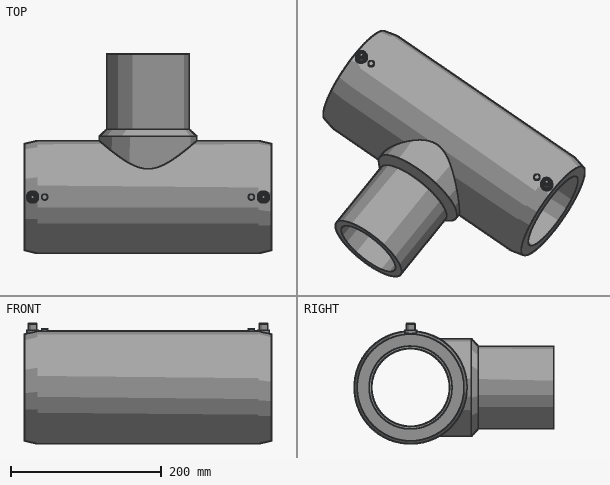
import cadquery as cq

length = 328.0
sleeve_diameter = 150.0
sleeve_radius = sleeve_diameter / 2
end_radius = 71.0
taper_length = 17.5
socket_radius = 55.0
socket_depth = 71.5
stop_radius = 51.5

overall_depth = 265.0
branch_reach = overall_depth - sleeve_radius
branch_diameter = 110.0
branch_radius = branch_diameter / 2
branch_bore_radius = 45.0
collar_radius = 65.0
collar_straight_end = 80.7
collar_taper_length = 9.2

terminal_inset = 10.8
overall_height = 160.0
terminal_top = overall_height - sleeve_radius
post_radius = 6.0
post_height = 9.2
post_chamfer = 1.0
base_radius = 8.0
well_radius = 4.3
well_depth = 8.0
pin_radius = 2.5
pin_height = 6.5

indicator_inset = 27.0
indicator_radius = 4.0
indicator_height = 3.0

half_length = length / 2
base_top = terminal_top - post_height
root_level = (socket_radius + end_radius) / 2


def upright_cylinder(x, bottom, top, radius):
    """Cylinder parallel to Z, standing over the sleeve axis."""
    return cq.Workplane("XY", origin=(x, 0, bottom)).circle(radius).extrude(top - bottom)


def make_sleeve():
    """Solid sleeve tapered towards both ends."""
    profile = [
        (-half_length, 0),
        (-half_length, end_radius),
        (-half_length + taper_length, sleeve_radius),
        (half_length - taper_length, sleeve_radius),
        (half_length, end_radius),
        (half_length, 0),
    ]
    return cq.Workplane("XY").polyline(profile).close().revolve(360, (0, 0), (1, 0))


def make_branch():
    """Solid branch pipe with its tapered collar."""
    profile = [
        (0, 0),
        (collar_radius, 0),
        (collar_radius, collar_straight_end),
        (branch_radius, collar_straight_end + collar_taper_length),
        (branch_radius, branch_reach),
        (0, branch_reach),
    ]
    return cq.Workplane("XY").polyline(profile).close().revolve(360, (0, 0), (0, 1))


def make_bores():
    """Stepped through bore of the sleeve and the branch bore that meets it."""
    bores = cq.Workplane("YZ").circle(stop_radius).extrude(half_length, both=True)
    for start, depth in ((-half_length, socket_depth), (half_length, -socket_depth)):
        bores = bores.union(cq.Workplane("YZ", origin=(start, 0, 0)).circle(socket_radius).extrude(depth))
    branch_bore = cq.Workplane("XZ").circle(branch_bore_radius).extrude(-branch_reach)
    return bores.union(branch_bore)


def make_terminal(x):
    """Terminal post on a wider base, with a contact pin in its well."""
    base = upright_cylinder(x, root_level, base_top, base_radius)
    post = upright_cylinder(x, root_level, terminal_top, post_radius)
    post = post.faces(">Z").edges().chamfer(post_chamfer)
    well_floor = terminal_top - well_depth
    well = upright_cylinder(x, well_floor, terminal_top, well_radius)
    pin = upright_cylinder(x, root_level, well_floor + pin_height, pin_radius)
    return base.union(post).cut(well).union(pin)


def make_indicator(x):
    """Small round fusion indicator standing proud of the sleeve."""
    return upright_cylinder(x, root_level, sleeve_radius + indicator_height, indicator_radius)


result = make_sleeve().union(make_branch()).cut(make_bores())
for side in (-1, 1):
    result = result.union(make_terminal(side * (half_length - terminal_inset)))
    result = result.union(make_indicator(side * (half_length - indicator_inset)))